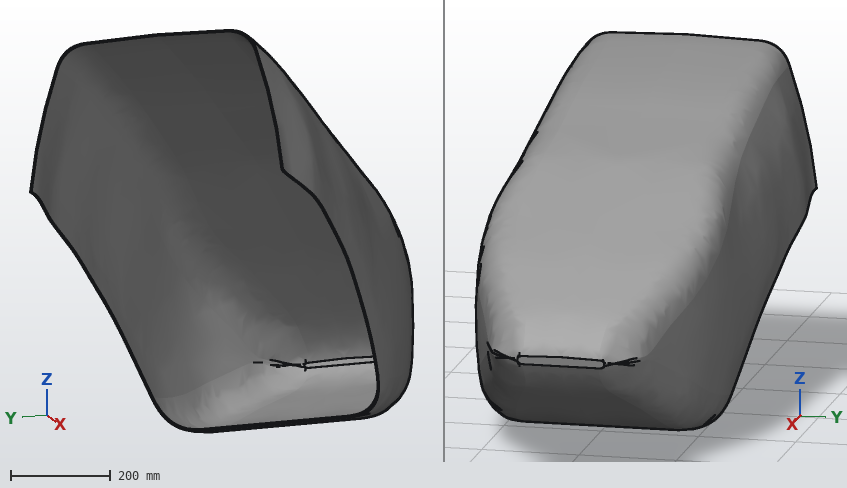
import cadquery as cq


LENGTH = 1129.96
HEIGHT = 631.16
WALL = 3.0
CROWN_SLOPE = 0.03
REAR_OVERRUN = 140.0

ARCH_REAR_Z = 328.0
ARCH_MIDDLE = (428.0, 213.0)
ARCH_FRONT_X = 710.0
CUT_MARGIN = 200.0

STATIONS = [
    (-REAR_OVERRUN, 646, 145, 212, 579, 242, 265, 320, 167, 225),
    (0, HEIGHT, 146, 213, 579, 258, 270, 316, 170, 187),
    (115, 619, 147, 214, 577, 277, 278, 304, 174, 132),
    (237, 601, 148, 215, 557, 286, 279, 279, 177, 78),
    (360, 575, 150, 217, 529, 293, 272, 233, 177, 40),
    (483, 546, 152, 221, 497, 299, 260, 172, 177, 17),
    (619, 512, 159, 235, 444, 289, 242, 66, 167, -4),
    (714, 475, 165, 244, 403, 271, 242, 75, 160, 0.5),
    (810, 436, 164, 240, 361, 255, 233, 105, 158, 24),
    (892, 405, 143, 225, 325, 232, 223, 143, 146, 61),
    (973, 364, 116, 195, 286, 199, 195, 187, 123, 107),
    (1041, 328, 93, 169, 245, 170, 169, 223, 97, 144),
    (1082, 299, 83, 150, 238, 153, 150, 226, 83, 170),
    (1110, 272, 79, 126, 236, 128, 126, 230, 78, 194),
    (1125, 253, 78, 99, 235, 100, 99, 231, 78, 214),
    (LENGTH, 243, 78, 89, 235, 89, 89, 231, 78, 224),
]


def corner_point(shoulder, side, z):
    """Extend the line from the side control point through the shoulder to height z."""
    (y0, z0), (y1, z1) = side, shoulder
    return (y1 + (y1 - y0) * (z - z1) / (z1 - z0), z)


def section(station):
    """Closed wire: top and bottom strips, four corner blends and two side panels."""
    (x, top_z, top_half, shoulder_half, shoulder_z,
     side_half, chine_half, chine_z, bottom_half, bottom_z) = station
    shoulder = (shoulder_half, shoulder_z)
    chine = (chine_half, chine_z)
    side = (side_half, (shoulder_z + chine_z) / 2)
    top_edge = (top_half, top_z - CROWN_SLOPE * top_half)
    top_middle = (top_half / 2, top_z)
    bottom_edge = (bottom_half, bottom_z)
    top_centre = (0, top_z)
    bottom_centre = (0, bottom_z)

    half_curves = [
        [top_centre, top_middle, top_edge],
        [top_edge, corner_point(shoulder, side, top_edge[1]), shoulder],
        [shoulder, side, chine],
        [chine, corner_point(chine, side, bottom_z), bottom_edge],
        [bottom_edge, bottom_centre],
    ]
    mirrored = [[(-y, z) for y, z in reversed(c)] for c in reversed(half_curves)]
    edges = []
    for curve in half_curves + mirrored:
        points = [cq.Vector(x, y, z) for y, z in curve]
        edges.append(cq.Edge.makeBezier(points))
    return cq.Wire.assembleEdges(edges)


def inset(station):
    """The matching section of the inner skin, one wall thickness inside."""
    (x, top_z, top_half, shoulder_half, shoulder_z,
     side_half, chine_half, chine_z, bottom_half, bottom_z) = station
    return (
        x - WALL * max(x, 0) / LENGTH,
        top_z - WALL,
        top_half - WALL,
        shoulder_half - WALL,
        shoulder_z,
        side_half - WALL,
        chine_half - WALL,
        chine_z,
        bottom_half - WALL,
        bottom_z + WALL,
    )


def loft(stations):
    """Smooth solid through the sections of the given stations."""
    wires = [section(s) for s in stations]
    solid = cq.occ_impl.shapes.loft(wires, cap=True, parametrization="chordal", compat=False)
    return cq.Workplane(obj=solid)


outer = loft(STATIONS)
inner = loft([inset(s) for s in STATIONS])
rear_ring = cq.Face.makeFromWires(section(STATIONS[0]), [section(inset(STATIONS[0]))])
skins = outer.faces("not <X").vals() + inner.faces("not <X").vals()
shell = cq.Workplane(obj=cq.Solid.makeSolid(cq.Shell.makeShell(skins + [rear_ring])).fix())
opening = (
    cq.Workplane("XZ")
    .moveTo(0, HEIGHT + CUT_MARGIN)
    .lineTo(0, ARCH_REAR_Z)
    .threePointArc(ARCH_MIDDLE, (ARCH_FRONT_X, 0))
    .lineTo(ARCH_FRONT_X, -CUT_MARGIN)
    .lineTo(-CUT_MARGIN, -CUT_MARGIN)
    .lineTo(-CUT_MARGIN, HEIGHT + CUT_MARGIN)
    .close()
    .extrude(LENGTH / 2, both=True)
)
result = shell.cut(opening)